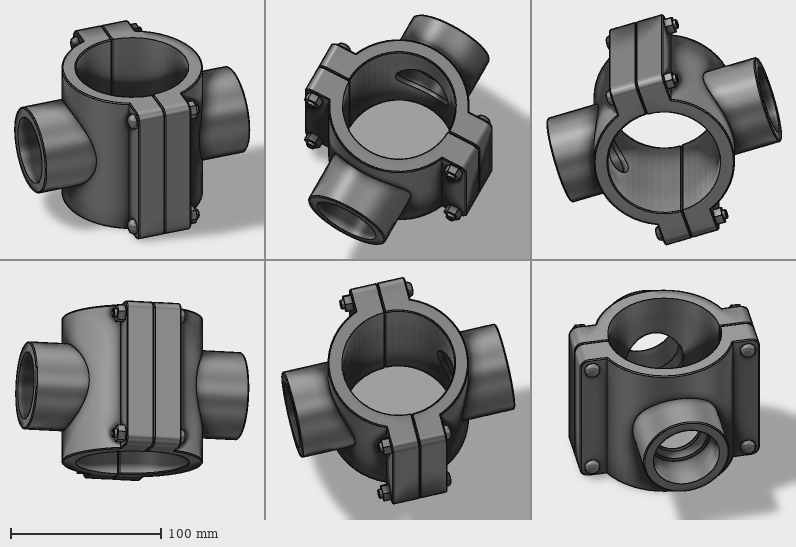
import cadquery as cq
import math

height = 98.0
ring_outer_diameter = 93.7
bore_diameter = 75.0
flange_width = 122.0
flange_thickness = 18.7
corner_radius = 6.1
edge_chamfer = 0.7

port_reach = 73.0
port_outer_diameter = 58.3
socket_diameter = 44.8
socket_depth = 24.8
passage_diameter = 40.0
seat_depth = 6.4
seat_radius = ring_outer_diameter / 2 - seat_depth

bolt_edge_distance = 8.0
bolt_diameter = 6.0
bolt_end_reach = 26.5
bolt_end_chamfer = 0.6
head_diameter = 10.0
head_height = 4.0
head_rounding = 2.9
nut_across_flats = 10.1
nut_across_corners = nut_across_flats / math.cos(math.pi / 6)
nut_height = 5.3
nut_turn = -3

bolt_x = flange_width / 2 - bolt_edge_distance
bolt_z = height / 2 - bolt_edge_distance
bolt_positions = [(x, z) for x in (-bolt_x, bolt_x) for z in (-bolt_z, bolt_z)]


def cylinder_along_y(diameter, start, end):
    """Cylinder on the Y axis between two Y positions."""
    return cq.Workplane("XZ", origin=(0, start, 0)).circle(diameter / 2).extrude(start - end)


def cylinder_along_z(radius):
    """Cylinder on the Z axis, as tall as the clamp."""
    return cq.Workplane("XY").circle(radius).extrude(height / 2, both=True)


def clamp_half(side):
    """Half ring with its flange plates; side is -1 toward -Y and +1 toward +Y."""
    outer_face, split_face = (">Y", "<Y") if side > 0 else ("<Y", ">Y")
    half_space = cq.Workplane("XY").box(flange_width, flange_width, height)
    half_space = half_space.translate((0, side * flange_width / 2, 0))
    half_ring = (
        cylinder_along_z(ring_outer_diameter / 2)
        .faces("<Z or >Z")
        .chamfer(edge_chamfer)
        .intersect(half_space)
    )
    plate = (
        cq.Workplane("XY")
        .box(flange_width, flange_thickness, height)
        .translate((0, side * flange_thickness / 2, 0))
        .edges("|Y")
        .fillet(corner_radius)
        .faces(outer_face)
        .chamfer(edge_chamfer)
    )
    half = half_ring.union(plate).cut(cylinder_along_z(bore_diameter / 2))
    return half.faces(split_face).edges().chamfer(edge_chamfer)


def bore_end_chamfer(end):
    """Cone that bevels one end of the bore; end is -1 for the bottom and +1 for the top."""
    rim_radius = bore_diameter / 2 + edge_chamfer
    cone = cq.Solid.makeCone(rim_radius, 0, rim_radius, (0, 0, end * height / 2), (0, 0, -end))
    return cq.Workplane(cone)


def bolt_head():
    """Button head standing on the -Y flange face."""
    head_end = -flange_thickness - head_height
    head = cylinder_along_y(head_diameter, -flange_thickness, head_end)
    return head.faces("<Y").edges().fillet(head_rounding)


def bolt_end_with_nut():
    """Hexagonal nut on the +Y flange face with the bolt end standing out of it."""
    nut = (
        cq.Workplane("XZ", origin=(0, flange_thickness, 0))
        .transformed(rotate=(0, 0, nut_turn))
        .polygon(6, nut_across_corners)
        .extrude(-nut_height)
    )
    bolt_end = cylinder_along_y(bolt_diameter, flange_thickness, bolt_end_reach)
    return nut.union(bolt_end.faces(">Y").chamfer(bolt_end_chamfer))


def port(side):
    """Socketed tube whose inner end is a saddle fitting the seat in the ring wall."""
    end = side * port_reach
    tube = cylinder_along_y(port_outer_diameter, 0, end)
    tube = tube.faces(">Y" if side > 0 else "<Y").chamfer(edge_chamfer)
    passage = cylinder_along_y(passage_diameter, 0, end)
    socket = cylinder_along_y(socket_diameter, end - side * socket_depth, end)
    return tube.cut(cylinder_along_z(seat_radius)).cut(passage).cut(socket)


def clamp_body():
    """Both clamp halves with the fasteners, the side passages and the seats for the ports."""
    front_half = clamp_half(-1)
    for end in (-1, 1):
        front_half = front_half.cut(bore_end_chamfer(end))
    body = front_half.union(clamp_half(1))
    for x, z in bolt_positions:
        body = body.union(bolt_head().translate((x, 0, z)))
        body = body.union(bolt_end_with_nut().translate((x, 0, z)))
    seats = cylinder_along_y(port_outer_diameter, -port_reach, port_reach)
    seats = seats.cut(cylinder_along_z(seat_radius))
    passages = cylinder_along_y(passage_diameter, -port_reach, port_reach)
    return body.cut(seats).cut(passages)


clamp = clamp_body()
ports = [port(side) for side in (-1, 1)]

result = cq.Compound.makeCompound([clamp.val(), *[tube.val() for tube in ports]])